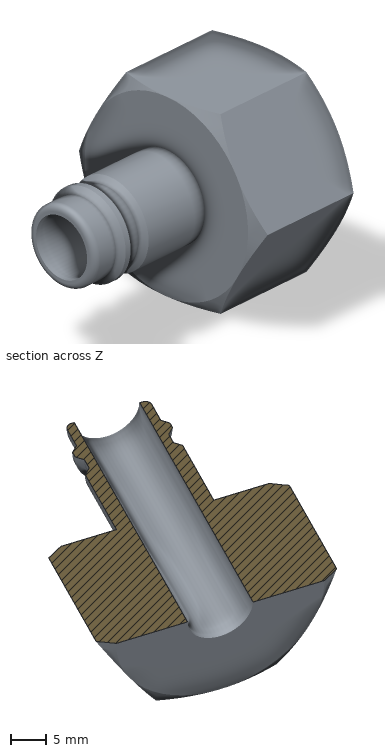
import cadquery as cq
import math

hexagon_sides = 6
across_flats = 32.0
nut_length = 20.5
total_length = 42.0
bore_diameter = 10.0

corner_chamfer_angle = 30.0

stem_diameter = 15.0
neck_diameter = 13.0
shoulder_length = 11.5
groove_width = 1.7
collar_land = 1.0
tip_fillet = 1.0

across_corners = across_flats / math.cos(math.pi / hexagon_sides)
inscribed_radius = across_flats / 2.0
corner_radius = across_corners / 2.0
corner_chamfer_depth = (corner_radius - inscribed_radius) * math.tan(math.radians(corner_chamfer_angle))
stem_radius = stem_diameter / 2.0
neck_radius = neck_diameter / 2.0
bevel = stem_radius - neck_radius
stem_length = total_length - nut_length


def revolve_about_y(profile):
    """Revolve a closed (radius, y) profile a full turn about the Y axis."""
    return profile.close().revolve(360.0, (0, 0, 0), (0, 1, 0))


def make_nut():
    """Hexagon with corners on X, from y = 0 to y = nut_length, chamfered at both ends."""
    hexagon = cq.Workplane("XZ").polygon(hexagon_sides, across_corners).extrude(-nut_length)
    chamfer_envelope = revolve_about_y(
        cq.Workplane("XY")
        .moveTo(0, 0)
        .lineTo(inscribed_radius, 0)
        .lineTo(corner_radius, corner_chamfer_depth)
        .lineTo(corner_radius, nut_length - corner_chamfer_depth)
        .lineTo(inscribed_radius, nut_length)
        .lineTo(0, nut_length)
    )
    return hexagon.intersect(chamfer_envelope)


def make_stem():
    """Turned stem with a bevelled shoulder, a groove, a collar and a rounded tip."""
    groove_start = shoulder_length + bevel
    collar_start = groove_start + groove_width
    collar_land_start = collar_start + bevel
    collar_land_end = collar_land_start + collar_land
    collar_end = collar_land_end + bevel
    stem = revolve_about_y(
        cq.Workplane("XY")
        .moveTo(0, 0)
        .lineTo(stem_radius, 0)
        .lineTo(stem_radius, -shoulder_length)
        .lineTo(neck_radius, -groove_start)
        .lineTo(neck_radius, -collar_start)
        .lineTo(stem_radius, -collar_land_start)
        .lineTo(stem_radius, -collar_land_end)
        .lineTo(neck_radius, -collar_end)
        .lineTo(neck_radius, -stem_length)
        .lineTo(0, -stem_length)
    )
    return stem.faces("<Y").edges().fillet(tip_fillet)


def make_bore():
    """Through bore along the whole part."""
    return (
        cq.Workplane("XZ", origin=(0, nut_length, 0))
        .circle(bore_diameter / 2.0)
        .extrude(total_length)
    )


result = make_nut().union(make_stem()).cut(make_bore())